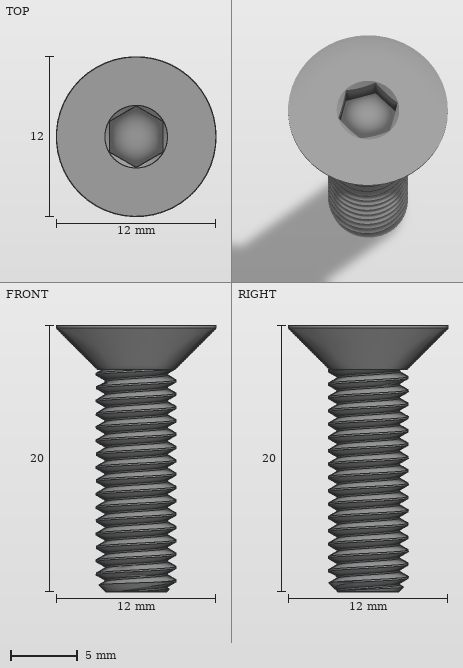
import cadquery as cq
import math

total_length = 20.0

head_diameter = 12.0
head_height = 3.3
rim_height = 0.2
neck_diameter = 5.8
head_bottom = total_length - head_height

socket_flats = 4.0
socket_depth = 2.35
entry_diameter = 4.7

major_diameter = 6.0
minor_diameter = 4.7
pitch = 1.0
flank_angle = math.radians(30)
crest_width = pitch / 8
root_overlap = 0.05
first_crest_height = 0.85
tip_diameter = 4.55


def make_head():
    outline = [
        (0, head_bottom),
        (neck_diameter / 2, head_bottom),
        (head_diameter / 2, total_length - rim_height),
        (head_diameter / 2, total_length),
        (0, total_length),
    ]
    return cq.Workplane("XZ").polyline(outline).close().revolve(360, (0, 0), (0, 1))


def make_thread_envelope():
    """Chamfered cylinder that trims the thread at both ends."""
    chamfer = (major_diameter - tip_diameter) / 2
    envelope_radius = major_diameter / 2 + root_overlap
    outline = [
        (0, 0),
        (tip_diameter / 2, 0),
        (envelope_radius, chamfer + root_overlap),
        (envelope_radius, head_bottom),
        (0, head_bottom),
    ]
    return cq.Workplane("XZ").polyline(outline).close().revolve(360, (0, 0), (0, 1))


def make_ridge():
    """Helical ridge that starts below the tip and ends inside the head."""
    start = first_crest_height - 2 * pitch
    turns = math.ceil((head_bottom - start) / pitch) + 1
    inner_radius = minor_diameter / 2 - root_overlap
    crest_radius = major_diameter / 2
    crest_half = crest_width / 2
    base_half = crest_half + (crest_radius - inner_radius) * math.tan(flank_angle)
    section = [
        (inner_radius, start - base_half),
        (crest_radius, start - crest_half),
        (crest_radius, start + crest_half),
        (inner_radius, start + base_half),
    ]
    helix = cq.Wire.makeHelix(pitch, turns * pitch, crest_radius, cq.Vector(0, 0, start))
    return cq.Workplane("XZ").polyline(section).close().sweep(cq.Workplane(helix), isFrenet=True)


def make_shank():
    core = cq.Workplane("XY").circle(minor_diameter / 2).extrude(head_bottom)
    envelope = make_thread_envelope()
    return core.intersect(envelope).union(make_ridge().intersect(envelope))


def make_socket():
    corner_diameter = socket_flats / math.cos(math.pi / 6)
    hexagon = (
        cq.Workplane("XY", origin=(0, 0, total_length - socket_depth))
        .transformed(rotate=(0, 0, 30))
        .polygon(6, corner_diameter)
        .extrude(socket_depth)
    )
    entry_radius = entry_diameter / 2
    entry = cq.Workplane(cq.Solid.makeCone(
        entry_radius, 0, entry_radius, cq.Vector(0, 0, total_length), cq.Vector(0, 0, -1)
    ))
    return hexagon.union(entry)


result = make_head().union(make_shank()).cut(make_socket())